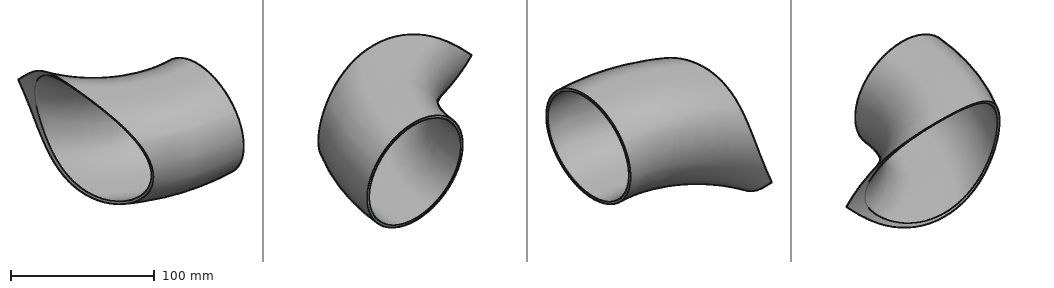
import cadquery as cq

overall_length = 158.5
pipe_diameter = 88.9
wall = 2.0
run_pipe_diameter = 168.3
bend_angle = 90

bend_radius = overall_length - pipe_diameter / 2
inside_bend_radius = bend_radius - pipe_diameter / 2
run_pipe_axis_y = -(inside_bend_radius + run_pipe_diameter / 2)


def bent_rod(diameter):
    """Round rod bent about the Z axis, from the +X side towards -Y."""
    axis_start = (-bend_radius, 0, 0)
    axis_end = (-bend_radius, -1, 0)
    return (
        cq.Workplane("XZ")
        .center(bend_radius, 0)
        .circle(diameter / 2)
        .revolve(bend_angle, axis_start, axis_end)
    )


elbow = bent_rod(pipe_diameter).cut(bent_rod(pipe_diameter - 2 * wall))

run_pipe = (
    cq.Workplane("ZY")
    .center(0, run_pipe_axis_y)
    .circle(run_pipe_diameter / 2)
    .extrude(2 * overall_length, both=True)
)

result = elbow.cut(run_pipe)